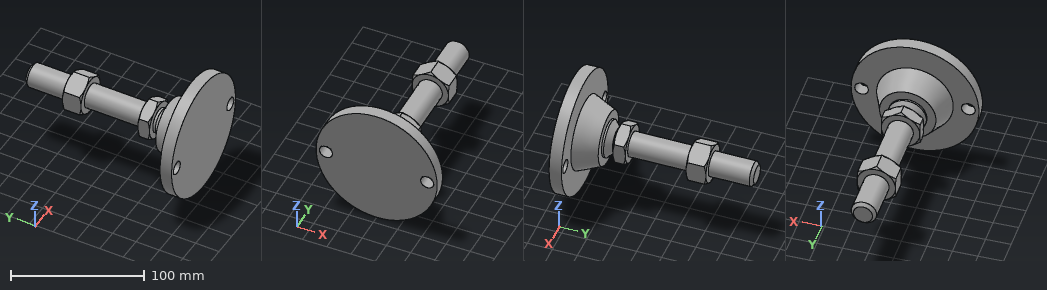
import cadquery as cq
import math

total_length = 148.0

base_diameter = 100.0
base_thickness = 10.0
hole_diameter = 10.7
hole_spacing = 83.5

hub_lower_diameter = 60.0
hub_upper_diameter = 44.1
hub_top = 29.0

collar_diameter = 30.0
collar_rim_top = 30.6
collar_top = 35.8

rod_diameter = 20.0
rod_chamfer = 2.5

nut_across_flats = 30.0
nut_chamfer_angle = 30.0
lower_nut_start = 38.0
lower_nut_height = 10.0
upper_nut_start = 96.6
upper_nut_height = 16.0


def make_foot():
    """Base plate, conical hub, collar and rod as one turned body."""
    rod_radius = rod_diameter / 2
    profile = [
        (0, 0),
        (base_diameter / 2, 0),
        (base_diameter / 2, base_thickness),
        (hub_lower_diameter / 2, base_thickness),
        (hub_upper_diameter / 2, hub_top),
        (collar_diameter / 2, hub_top),
        (collar_diameter / 2, collar_rim_top),
        (rod_radius, collar_top),
        (rod_radius, total_length - rod_chamfer),
        (rod_radius - rod_chamfer, total_length),
        (0, total_length),
    ]
    return cq.Workplane("XY").polyline(profile).close().revolve(360, (0, 0), (0, 1))


def make_nut(start, height):
    """Hexagon nut with flats facing +X and -X, and conically chamfered corners on both ends."""
    flat_radius = nut_across_flats / 2
    corner_radius = flat_radius / math.cos(math.radians(30))
    chamfer_depth = (corner_radius - flat_radius) * math.tan(math.radians(nut_chamfer_angle))
    end = start + height
    hexagon = (
        cq.Workplane("XZ", origin=(0, start, 0))
        .transformed(rotate=(0, 0, 90))
        .polygon(6, 2 * corner_radius)
        .extrude(-height)
    )
    envelope_profile = [
        (0, start),
        (flat_radius, start),
        (corner_radius, start + chamfer_depth),
        (corner_radius, end - chamfer_depth),
        (flat_radius, end),
        (0, end),
    ]
    envelope = cq.Workplane("XY").polyline(envelope_profile).close().revolve(360, (0, 0), (0, 1))
    return hexagon.intersect(envelope)


def make_mounting_holes():
    """Two through-hole cutters on opposite sides of the base plate."""
    return (
        cq.Workplane("XZ")
        .pushPoints([(-hole_spacing / 2, 0), (hole_spacing / 2, 0)])
        .circle(hole_diameter / 2)
        .extrude(-base_thickness)
    )


result = (
    make_foot()
    .union(make_nut(lower_nut_start, lower_nut_height))
    .union(make_nut(upper_nut_start, upper_nut_height))
    .cut(make_mounting_holes())
)